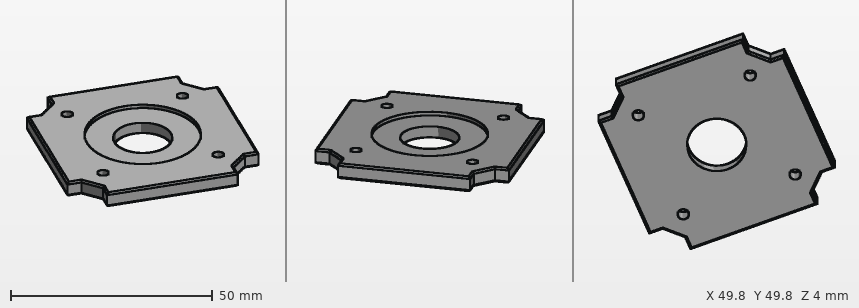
import cadquery as cq

side = 49.8
thickness = 4.0
edge_chamfer = 0.5
half_side = side / 2

edge_half_length = 17.05
notch_shoulder = 21.3

bore_diameter = 14.7
recess_diameter = 29.0
recess_depth = 1.0
screw_hole_diameter = 2.8
screw_hole_spacing = 30.0


def corner_notch(x_sign, y_sign):
    """Cutter that removes one corner of the plate."""
    points = [
        (edge_half_length, half_side),
        (edge_half_length, notch_shoulder),
        (notch_shoulder, edge_half_length),
        (half_side, edge_half_length),
        (half_side, half_side),
    ]
    corner = [(x_sign * x, y_sign * y) for x, y in points]
    return cq.Workplane("XY").polyline(corner).close().extrude(thickness)


plate = cq.Workplane("XY").box(side, side, thickness, centered=(True, True, False))
for x_sign in (-1, 1):
    for y_sign in (-1, 1):
        plate = plate.cut(corner_notch(x_sign, y_sign))

plate = plate.faces("<Z or >Z").edges().chamfer(edge_chamfer)

plate = plate.faces(">Z").workplane(origin=(0, 0, 0)).cboreHole(
    bore_diameter, recess_diameter, recess_depth
)

result = (
    plate.faces(">Z")
    .workplane(origin=(0, 0, 0))
    .rect(screw_hole_spacing, screw_hole_spacing, forConstruction=True)
    .vertices()
    .hole(screw_hole_diameter)
)